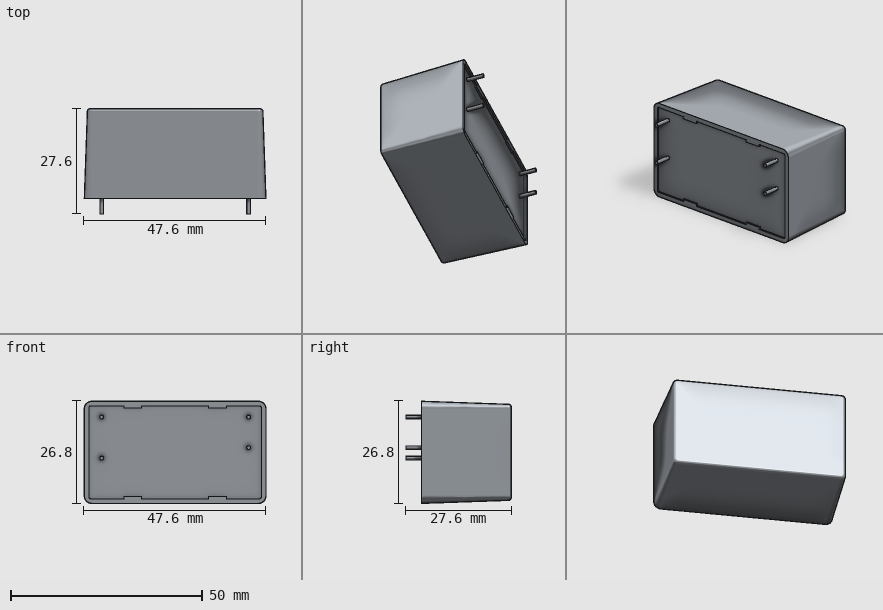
import cadquery as cq
import math

length = 47.6
height = 26.8
depth = 23.55
draft_angle = 2.0
rim_corner_radius = 2.0
back_edge_radius = 0.8

wall = 1.25
recess_depth = 0.5
recess_corner_radius = 0.48

tab_length = 4.6
tab_reach = 0.6
tab_center_x = 11.1

pin_diameter = 1.0
pin_projection = 4.05
pin_x = 19.25
upper_pin_z = 9.25
pin_places = [
    (-pin_x, upper_pin_z),
    (-pin_x, -1.5),
    (pin_x, upper_pin_z),
    (pin_x, 1.2),
]

recess_length = length - 2 * wall
recess_height = height - 2 * wall


def rim_plane():
    """Plane of the rim: local x is +X, local y is +Z and the normal is -Y."""
    return cq.Workplane("XZ")


def make_drafted_block():
    """Rounded block that narrows evenly toward a rounded back face."""
    back_inset = depth * math.tan(math.radians(draft_angle))
    back_corner_radius = rim_corner_radius - back_inset
    back = (
        cq.Sketch()
        .rect(length - 2 * back_inset, height - 2 * back_inset)
        .vertices()
        .fillet(back_corner_radius)
    )
    rim = cq.Sketch().rect(length, height).vertices().fillet(rim_corner_radius)
    block = rim_plane().placeSketch(rim, back.moved(cq.Location(cq.Vector(0, 0, -depth)))).loft()
    return block.faces(">Y").edges().fillet(back_edge_radius)


def make_recess():
    """Volume of the recess, notched where the tabs stand."""
    recess = (
        rim_plane()
        .rect(recess_length, recess_height)
        .extrude(-recess_depth)
        .edges("|Y")
        .fillet(recess_corner_radius)
    )
    tab_z = recess_height / 2
    tabs = (
        rim_plane()
        .rect(2 * tab_center_x, 2 * tab_z, forConstruction=True)
        .vertices()
        .rect(tab_length, 2 * tab_reach)
        .extrude(-recess_depth)
    )
    return recess.cut(tabs)


def make_pin(x, z):
    """Round pin from the recess floor to its free end."""
    return (
        rim_plane()
        .workplane(offset=-recess_depth)
        .center(x, z)
        .circle(pin_diameter / 2)
        .extrude(recess_depth + pin_projection)
    )


housing = make_drafted_block().cut(make_recess())
pins = [make_pin(x, z).val() for x, z in pin_places]

result = cq.Compound.makeCompound([housing.val(), *pins])